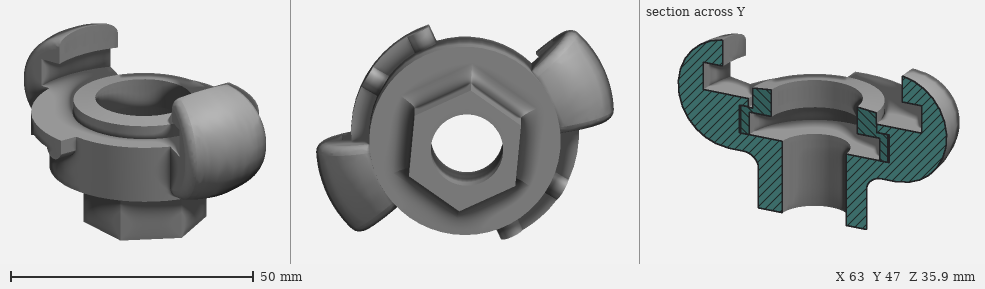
import cadquery as cq
import math

body_radius = 39.5 / 2
body_bottom = 11.95
face_height = 24.0
hex_across_flats = 22.05
hex_flare_radius = 3.0
flange_radius = 47.0 / 2
flange_thickness = 3.0
bump_radius = 2.5
bump_axis_height = 21.7
bump_spacing_angle = 35.0
claw_reach = 31.5
claw_profile_radius = 11.95
claw_crown_radius = 23.3
claw_axis_x = claw_reach - claw_profile_radius
claw_root_x = 12.6
claw_root_half_width = 5.35
claw_side_angle = 17.2
claw_edge_fillet = 2.0
claw_mouth_radius = 20.95
claw_slot_radius = 25.5
claw_slot_height = 6.0
seal_axis_x = -0.45
seat_floor = 16.0
seat_opening_radius = 30.0 / 2
undercut_radius = 35.0 / 2
undercut_height = 6.05
through_bore_radius = 14.9 / 2
seal_radius = 29.0 / 2
seal_bore_radius = 20.0 / 2
seal_flange_radius = 34.5 / 2
seal_groove_radius = 15.25
seal_groove_height = 4.9
seal_rim_height = 26.5
seal_top = 26.95
margin = 12.6


def disk(radius, bottom, top, center_x=0):
    """Vertical cylinder between two heights, with its seam on +Y, clear of the claws."""
    plane = cq.Plane(origin=(center_x, 0, bottom), xDir=(0, 1, 0), normal=(0, 0, 1))
    return cq.Workplane(plane).circle(radius).extrude(top - bottom)


def make_hex_spigot():
    """Hexagon with mitred concave flares: three flared prisms intersected."""
    half_flat = hex_across_flats / 2
    flare_start = body_bottom - hex_flare_radius
    flare_width = half_flat + hex_flare_radius
    mid_offset = hex_flare_radius * (1 - math.sqrt(0.5))
    mid_width = half_flat + mid_offset
    mid_height = body_bottom - mid_offset
    prism = (
        cq.Workplane("YZ")
        .moveTo(-half_flat, 0)
        .lineTo(half_flat, 0)
        .lineTo(half_flat, flare_start)
        .threePointArc((mid_width, mid_height), (flare_width, body_bottom))
        .lineTo(-flare_width, body_bottom)
        .threePointArc((-mid_width, mid_height), (-half_flat, flare_start))
        .close()
        .extrude(2 * body_radius, both=True)
    )
    spigot = prism
    for angle in (60, 120):
        spigot = spigot.intersect(prism.rotate((0, 0, 0), (0, 0, 1), angle))
    return spigot


def make_flange():
    """Half-turn flange on the -Y side with two radial locking bumps below it."""
    flange_bottom = face_height - flange_thickness
    sector = (
        cq.Workplane("XY")
        .moveTo(bump_radius, 0)
        .lineTo(bump_radius, -flange_radius - margin)
        .lineTo(-flange_radius - margin, -flange_radius - margin)
        .lineTo(-flange_radius - margin, 0)
        .close()
        .extrude(face_height)
    )
    flange = disk(flange_radius, flange_bottom, face_height)
    bump = (
        cq.Workplane("XZ", origin=(0, 0, bump_axis_height))
        .circle(bump_radius)
        .extrude(flange_radius + margin)
    )
    trim = disk(flange_radius, 0, face_height)
    for angle in (0, -bump_spacing_angle):
        flange = flange.union(bump.rotate((0, 0, 0), (0, 0, 1), angle).intersect(trim))
    return flange.intersect(sector)


def make_claw():
    """Solid claw on the +X side: a crowned barrel trimmed by a wedge."""
    claw_top = face_height + claw_profile_radius
    barrel_half_length = 11.35
    crown_drop = claw_crown_radius - math.sqrt(claw_crown_radius**2 - barrel_half_length**2)
    end_x = claw_reach - crown_drop
    barrel = (
        cq.Workplane("XY", origin=(claw_axis_x, 0, face_height))
        .moveTo(0, -barrel_half_length)
        .lineTo(claw_axis_x - end_x, -barrel_half_length)
        .threePointArc((-claw_profile_radius, 0), (claw_axis_x - end_x, barrel_half_length))
        .lineTo(0, barrel_half_length)
        .close()
        .revolve(360, (0, 0, 0), (0, 1, 0))
    )
    tip_x = claw_reach + margin
    tip_half_width = claw_root_half_width + (tip_x - claw_root_x) * math.tan(math.radians(claw_side_angle))
    wedge = (
        cq.Workplane("XY")
        .polyline([
            (claw_root_x, -claw_root_half_width),
            (tip_x, -tip_half_width),
            (tip_x, tip_half_width),
            (claw_root_x, claw_root_half_width),
        ])
        .close()
        .extrude(claw_top + margin)
    )
    claw = barrel.intersect(wedge)
    claw = claw.edges(">Y or <Y").fillet(claw_edge_fillet)
    claw = claw.cut(disk(claw_mouth_radius, face_height, claw_top + margin))
    return claw.cut(disk(claw_slot_radius, face_height, face_height + claw_slot_height))


def make_housing():
    housing = disk(body_radius, body_bottom, face_height).union(make_hex_spigot())
    flange = make_flange()
    claw = make_claw()
    for angle in (0, 180):
        housing = housing.union(flange.rotate((0, 0, 0), (0, 0, 1), angle))
        housing = housing.union(claw.rotate((0, 0, 0), (0, 0, 1), angle))
    housing = housing.cut(disk(seat_opening_radius, seat_floor, face_height))
    housing = housing.cut(disk(undercut_radius, seat_floor, seat_floor + undercut_height, seal_axis_x))
    return housing.cut(disk(through_bore_radius, 0, seat_floor, seal_axis_x))


def make_seal():
    """Flanged lip seal with a sloping top and an internal groove."""
    flange_top = seat_floor + undercut_height
    groove_top = seat_floor + seal_groove_height
    return (
        cq.Workplane("XZ", origin=(seal_axis_x, 0, 0))
        .polyline([
            (seal_groove_radius, seat_floor),
            (seal_flange_radius, seat_floor),
            (seal_flange_radius, flange_top),
            (seal_radius, flange_top),
            (seal_radius, seal_rim_height),
            (seal_bore_radius, seal_top),
            (seal_bore_radius, groove_top),
            (seal_groove_radius, groove_top),
        ])
        .close()
        .revolve(360, (0, 0, 0), (0, 1, 0))
    )


housing = make_housing()
seal = make_seal()
result = cq.Compound.makeCompound([housing.val(), seal.val()])